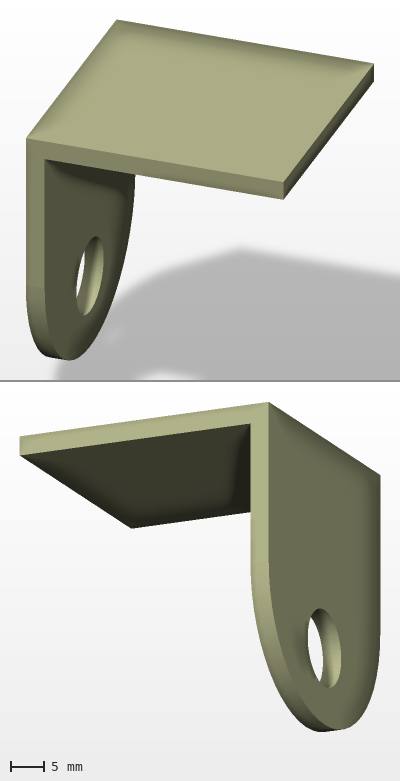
import cadquery as cq

length = 41.0
width = 40.0
height = 44.95
thickness = 3.0
hole_diameter = 12.0
hole_height = 12.0

end_radius = width / 2


def top_plate():
    """Flat rectangular plate, flush with the top of the upright plate."""
    return (
        cq.Workplane("XY")
        .workplane(offset=height - thickness)
        .rect(length, width)
        .extrude(thickness)
        .translate((length / 2, 0, 0))
    )


def upright_plate():
    """Plate in the YZ plane with a rounded lower end and a through hole."""
    return (
        cq.Workplane("YZ")
        .moveTo(-end_radius, height)
        .lineTo(-end_radius, end_radius)
        .threePointArc((0, 0), (end_radius, end_radius))
        .lineTo(end_radius, height)
        .close()
        .moveTo(0, hole_height)
        .circle(hole_diameter / 2)
        .extrude(thickness)
    )


result = upright_plate().union(top_plate())